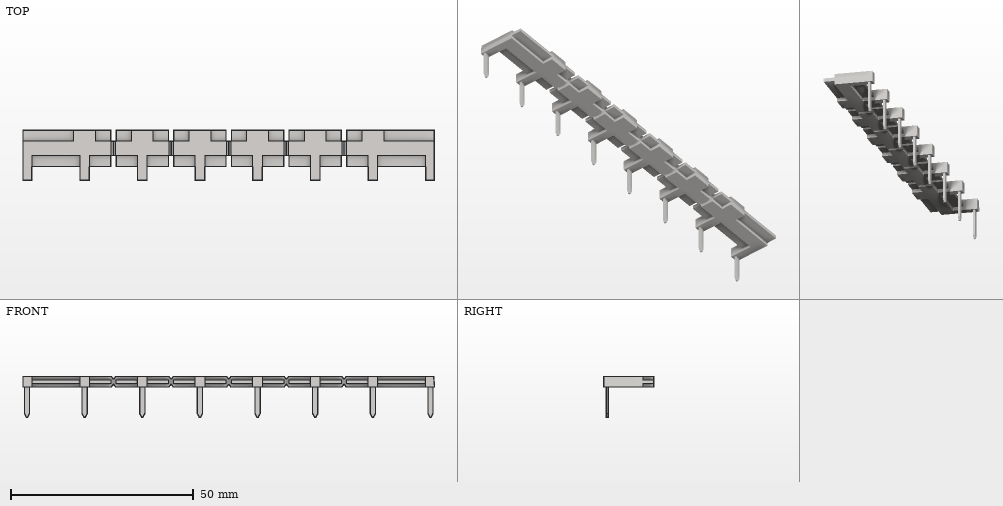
import cadquery as cq

pin_count = 8
pin_pitch = 15.8
strip_length = 112.9
bar_height = 3.0

core_width = 3.925
flange_width = 3.05
finger_overhang = 3.775
flange_thickness = 1.0

finger_width = 2.65
end_finger_width = 2.5
tab_width = 6.0

pin_width = 1.5
pin_thickness = 0.6
pin_length = 8.24
pin_tip_length = 1.05
pin_tip_width = 0.4
pin_setback = 0.7

gap_width = 1.4
groove_width = 1.25
groove_floor_width = 0.1
groove_depth = 0.75

end_draft = 0.25

left_x = -strip_length / 2
right_x = strip_length / 2
first_pin_x = -pin_pitch * (pin_count - 1) / 2
pin_xs = [first_pin_x + i * pin_pitch for i in range(pin_count)]
inner_pin_xs = pin_xs[1:-1]
joint_xs = [x + pin_pitch / 2 for x in inner_pin_xs[:-1]]
core_front_y = -core_width / 2
core_back_y = core_width / 2
flange_front_y = core_front_y - flange_width
flange_back_y = core_back_y + flange_width
finger_front_y = flange_front_y - finger_overhang
flange_bottom_z = (bar_height - flange_thickness) / 2


def block(x0, x1, y0, y1, z0, z1):
    """Axis-aligned box between two opposite corners."""
    return cq.Workplane("XY").box(x1 - x0, y1 - y0, z1 - z0, centered=False).translate((x0, y0, z0))


def full_height_block(x0, x1, y0, y1):
    return block(x0, x1, y0, y1, 0, bar_height)


def make_strip():
    """Full-height core with a thin flange at mid-height along both sides."""
    core = full_height_block(left_x, right_x, core_front_y, core_back_y)
    flange_top_z = flange_bottom_z + flange_thickness
    flange = block(left_x, right_x, flange_front_y, flange_back_y, flange_bottom_z, flange_top_z)
    return core.union(flange)


def make_joint_cut(x):
    """Gap through both flanges and a V-groove in the top and bottom of the core."""
    gap_left = x - gap_width / 2
    gap_right = x + gap_width / 2
    back_gap = full_height_block(gap_left, gap_right, core_back_y, flange_back_y)
    front_gap = full_height_block(gap_left, gap_right, flange_front_y, core_front_y)
    half_groove = groove_width / 2
    half_floor = groove_floor_width / 2
    bottom_groove = (
        cq.Workplane("XZ", origin=(0, core_back_y, 0))
        .polyline([
            (x - half_groove, 0),
            (x + half_groove, 0),
            (x + half_floor, groove_depth),
            (x - half_floor, groove_depth),
        ])
        .close()
        .extrude(core_width)
    )
    top_groove = bottom_groove.mirror("XY", (0, 0, bar_height / 2))
    return back_gap.union(front_gap).union(bottom_groove).union(top_groove)


def make_finger(x0, x1):
    return full_height_block(x0, x1, finger_front_y, core_front_y)


def make_tab(x):
    return full_height_block(x - tab_width / 2, x + tab_width / 2, core_back_y, flange_back_y)


def make_pin(x):
    """Flat pin hanging below a finger, tapered in width to a blunt tip."""
    half_width = pin_width / 2
    half_tip = pin_tip_width / 2
    shoulder_z = pin_tip_length - pin_length
    return (
        cq.Workplane("XZ", origin=(0, finger_front_y + pin_setback + pin_thickness, 0))
        .polyline([
            (x - half_width, 0),
            (x - half_width, shoulder_z),
            (x - half_tip, -pin_length),
            (x + half_tip, -pin_length),
            (x + half_width, shoulder_z),
            (x + half_width, 0),
        ])
        .close()
        .extrude(pin_thickness)
    )


def make_end_draft_cut():
    """Wedge that leans the +X end face inward towards the top."""
    return (
        cq.Workplane("XZ", origin=(0, flange_back_y, 0))
        .polyline([(right_x, 0), (right_x, bar_height), (right_x - end_draft, bar_height)])
        .close()
        .extrude(flange_back_y - finger_front_y)
    )


result = make_strip()
for joint_x in joint_xs:
    result = result.cut(make_joint_cut(joint_x))

result = result.union(make_finger(left_x, left_x + end_finger_width))
result = result.union(make_finger(right_x - end_finger_width, right_x))
for inner_x in inner_pin_xs:
    result = result.union(make_finger(inner_x - finger_width / 2, inner_x + finger_width / 2))
    result = result.union(make_tab(inner_x))

for pin_x in pin_xs:
    result = result.union(make_pin(pin_x))

result = result.cut(make_end_draft_cut())